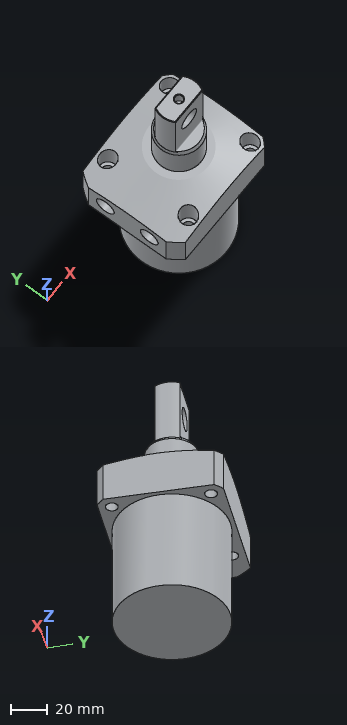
import cadquery as cq
import math

total_height = 156.0
flange_bottom = 63.0
flange_top = 94.0
shoulder_top = 117.8

barrel_radius = 32.5
flange_left = 46.0
flange_right = 35.0
flange_half_width = 70.0 / 2
left_corner_radius = 53.0
right_corner_radius = 46.5
flat_radius = 20.0
cone_angle = 15.0

mount_offset = 27.5
mount_diameter = 6.9
counterbore_diameter = 11.0
counterbore_floor = 73.3
port_offset = 15.0
port_height = 76.0
port_diameter = 12.0
port_depth = 15.6

shoulder_radius = 15.0
shoulder_chamfer_height = 2.3
shoulder_chamfer_width = 1.2
tongue_radius = 14.0
tongue_thickness = 14.0
tongue_top_chamfer = 0.5
tongue_root_fillet = 0.8
pin_hole_diameter = 13.1
pin_hole_height = 139.6
end_hole_diameter = 5.0
end_hole_depth = 7.8
end_hole_chamfer = 0.5


def corner_points(radius, side_distance):
    """Arc end on the long edge (x), arc end on the short edge (y), and the arc midpoint (x, y)."""
    end_x = math.sqrt(radius**2 - flange_half_width**2)
    end_y = math.sqrt(radius**2 - side_distance**2)
    mid_angle = (math.atan2(flange_half_width, end_x) + math.atan2(end_y, side_distance)) / 2
    return end_x, end_y, radius * math.cos(mid_angle), radius * math.sin(mid_angle)


def make_flange():
    """Block whose corners are arcs about the rod axis and whose top is a shallow cone."""
    left_end_x, left_end_y, left_mid_x, left_mid_y = corner_points(left_corner_radius, flange_left)
    right_end_x, right_end_y, right_mid_x, right_mid_y = corner_points(right_corner_radius, flange_right)
    block = (
        cq.Workplane("XY", origin=(0, 0, flange_bottom))
        .moveTo(-left_end_x, -flange_half_width)
        .lineTo(right_end_x, -flange_half_width)
        .threePointArc((right_mid_x, -right_mid_y), (flange_right, -right_end_y))
        .lineTo(flange_right, right_end_y)
        .threePointArc((right_mid_x, right_mid_y), (right_end_x, flange_half_width))
        .lineTo(-left_end_x, flange_half_width)
        .threePointArc((-left_mid_x, left_mid_y), (-flange_left, left_end_y))
        .lineTo(-flange_left, -left_end_y)
        .threePointArc((-left_mid_x, -left_mid_y), (-left_end_x, -flange_half_width))
        .close()
        .extrude(flange_top - flange_bottom)
    )

    blank_radius = 1.5 * left_corner_radius
    slope_drop = (blank_radius - flat_radius) * math.tan(math.radians(cone_angle))
    profile = [
        (0, flange_bottom),
        (blank_radius, flange_bottom),
        (blank_radius, flange_top - slope_drop),
        (flat_radius, flange_top),
        (0, flange_top),
    ]
    turned = cq.Workplane("XZ").polyline(profile).close().revolve(360, (0, 0, 0), (0, 1, 0))
    return block.intersect(turned)


def make_housing():
    barrel = cq.Workplane("XY").circle(barrel_radius).extrude(flange_bottom)
    housing = barrel.union(make_flange())

    mount_centers = [(x, y) for x in (-mount_offset, mount_offset) for y in (-mount_offset, mount_offset)]
    mount_holes = (
        cq.Workplane("XY", origin=(0, 0, flange_bottom))
        .pushPoints(mount_centers)
        .circle(mount_diameter / 2)
        .extrude(flange_top - flange_bottom)
    )
    counterbores = (
        cq.Workplane("XY", origin=(0, 0, counterbore_floor))
        .pushPoints(mount_centers)
        .circle(counterbore_diameter / 2)
        .extrude(flange_top - counterbore_floor)
    )

    ports = (
        cq.Workplane("YZ", origin=(-flange_left, 0, port_height))
        .pushPoints([(-port_offset, 0), (port_offset, 0)])
        .circle(port_diameter / 2)
        .extrude(port_depth)
    )
    return housing.cut(mount_holes).cut(counterbores).cut(ports)


def make_shoulder():
    """Round shoulder standing on the flat of the housing, tapered at its top."""
    profile = [
        (0, flange_top),
        (shoulder_radius, flange_top),
        (shoulder_radius, shoulder_top - shoulder_chamfer_height),
        (shoulder_radius - shoulder_chamfer_width, shoulder_top),
        (0, shoulder_top),
    ]
    return cq.Workplane("XZ").polyline(profile).close().revolve(360, (0, 0, 0), (0, 1, 0))


def make_tongue():
    """Round bar with two flats that flare out in a fillet at the root."""
    root = shoulder_top - shoulder_chamfer_height
    bar = cq.Workplane("XY", origin=(0, 0, root)).circle(tongue_radius).extrude(total_height - root)
    half = tongue_thickness / 2
    flare = half + tongue_root_fillet
    fillet_top = shoulder_top + tongue_root_fillet
    arc_inset = tongue_root_fillet * (1 - math.sqrt(0.5))
    flats = (
        cq.Workplane("YZ")
        .moveTo(-flare, root)
        .lineTo(flare, root)
        .lineTo(flare, shoulder_top)
        .threePointArc((half + arc_inset, shoulder_top + arc_inset), (half, fillet_top))
        .lineTo(half, total_height)
        .lineTo(-half, total_height)
        .lineTo(-half, fillet_top)
        .threePointArc((-half - arc_inset, shoulder_top + arc_inset), (-flare, shoulder_top))
        .close()
        .extrude(tongue_radius, both=True)
    )
    return bar.intersect(flats).faces(">Z").chamfer(tongue_top_chamfer)


def make_rod():
    rod = make_shoulder().union(make_tongue())
    pin_hole = (
        cq.Workplane("XZ", origin=(0, 0, pin_hole_height))
        .circle(pin_hole_diameter / 2)
        .extrude(tongue_thickness, both=True)
    )
    end_hole = (
        cq.Workplane("XY", origin=(0, 0, total_height))
        .circle(end_hole_diameter / 2)
        .extrude(-end_hole_depth)
    )
    end_countersink = cq.Workplane(
        cq.Solid.makeCone(
            end_hole_diameter / 2 + end_hole_chamfer,
            end_hole_diameter / 2,
            end_hole_chamfer,
            pnt=cq.Vector(0, 0, total_height),
            dir=cq.Vector(0, 0, -1),
        )
    )
    return rod.cut(pin_hole).cut(end_hole).cut(end_countersink)


housing = make_housing()
rod = make_rod()

result = cq.Compound.makeCompound([housing.solids().val(), rod.solids().val()])